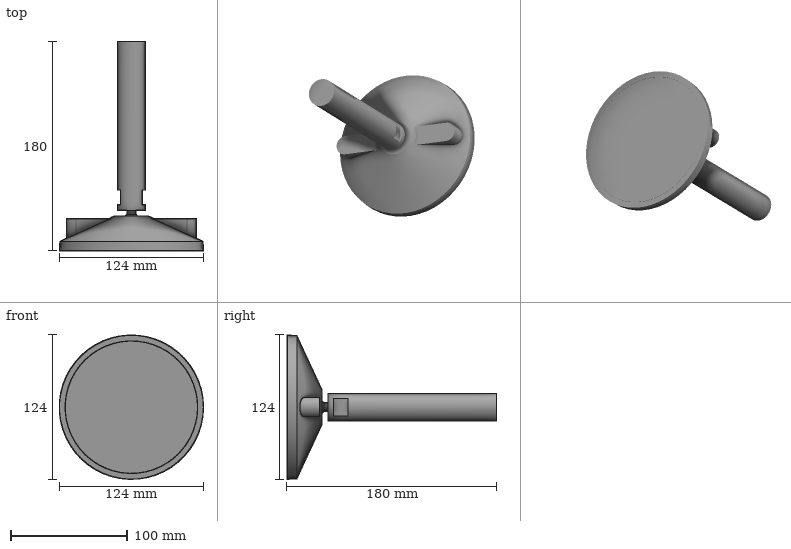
import cadquery as cq

OVERALL_LENGTH = 180.0

SOLE_DIAMETER = 124.0
RIM_TOP_DIAMETER = 123.1
RIM_HEIGHT = 8.3
CONE_TOP_DIAMETER = 29.2
FOOT_HEIGHT = 30.0

PAD_DIAMETER = 113.5
PAD_SEAT_DIAMETER = 114.0
GROOVE_DEPTH = 0.9

BAR_LENGTH = 111.6
BAR_WIDTH = 16.4
BAR_TOP = 27.9

BALL_DIAMETER = 12.5
BALL_CENTRE = 26.6
NECK_DIAMETER = 7.7

ROD_DIAMETER = 24.0
ROD_START = 35.0
FLAT_START = 39.8
FLAT_LENGTH = 12.6
ACROSS_FLATS = 18.9


def plane_at(height):
    """XZ plane at the given height above the sole, with its normal along +Y."""
    return cq.Workplane(cq.Plane(origin=(0, height, 0), xDir=(1, 0, 0), normal=(0, 1, 0)))


def cylinder(diameter, start, end):
    return plane_at(start).circle(diameter / 2).extrude(end - start)


def make_foot():
    half_profile = [
        (0, 0),
        (SOLE_DIAMETER / 2, 0),
        (RIM_TOP_DIAMETER / 2, RIM_HEIGHT),
        (CONE_TOP_DIAMETER / 2, FOOT_HEIGHT),
        (0, FOOT_HEIGHT),
    ]
    return cq.Workplane("XY").polyline(half_profile).close().revolve(360, (0, 0, 0), (0, 1, 0))


def make_pad_groove():
    ring = plane_at(0).circle(PAD_SEAT_DIAMETER / 2).circle(PAD_DIAMETER / 2)
    return ring.extrude(GROOVE_DEPTH)


def make_bar():
    return plane_at(RIM_HEIGHT).slot2D(BAR_LENGTH, BAR_WIDTH).extrude(BAR_TOP - RIM_HEIGHT)


def make_ball_and_neck():
    ball = cq.Workplane("XY").sphere(BALL_DIAMETER / 2).translate((0, BALL_CENTRE, 0))
    return ball.union(cylinder(NECK_DIAMETER, BALL_CENTRE, ROD_START))


def make_rod():
    rod = cylinder(ROD_DIAMETER, ROD_START, OVERALL_LENGTH)
    for side in (-1, 1):
        cutter_centre = side * (ACROSS_FLATS + ROD_DIAMETER) / 2
        cutter = (
            plane_at(FLAT_START)
            .rect(ROD_DIAMETER, ROD_DIAMETER)
            .extrude(FLAT_LENGTH)
            .translate((cutter_centre, 0, 0))
        )
        rod = rod.cut(cutter)
    return rod


foot = make_foot().union(make_bar()).cut(make_pad_groove())
result = foot.union(make_ball_and_neck()).union(make_rod())